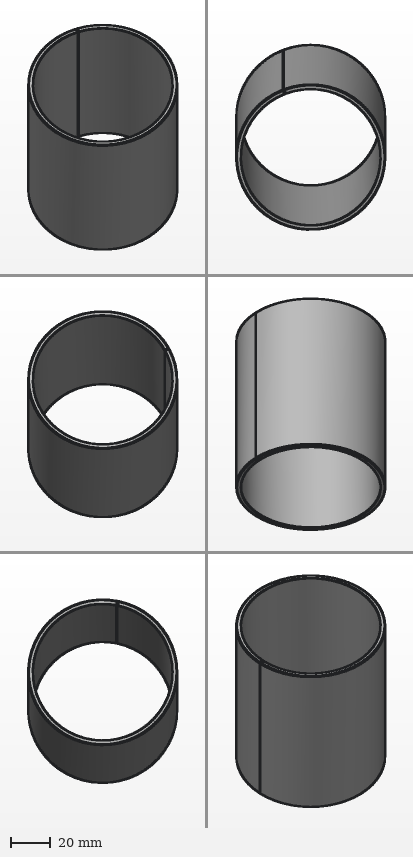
import cadquery as cq

length = 90.0
outer_diameter = 75.0
wall = 2.5
outer_chamfer = 0.45
inner_chamfer = 0.225
slit_angle = 1.0

outer_radius = outer_diameter / 2
inner_radius = outer_radius - wall

wall_section = (
    cq.Workplane("XZ")
    .moveTo(-outer_radius, outer_chamfer)
    .lineTo(-outer_radius, length - outer_chamfer)
    .lineTo(-outer_radius + outer_chamfer, length)
    .lineTo(-inner_radius - inner_chamfer, length)
    .lineTo(-inner_radius, length - inner_chamfer)
    .lineTo(-inner_radius, inner_chamfer)
    .lineTo(-inner_radius - inner_chamfer, 0)
    .lineTo(-outer_radius + outer_chamfer, 0)
    .close()
)

result = wall_section.revolve(360 - slit_angle, (0, 0, 0), (0, 1, 0))